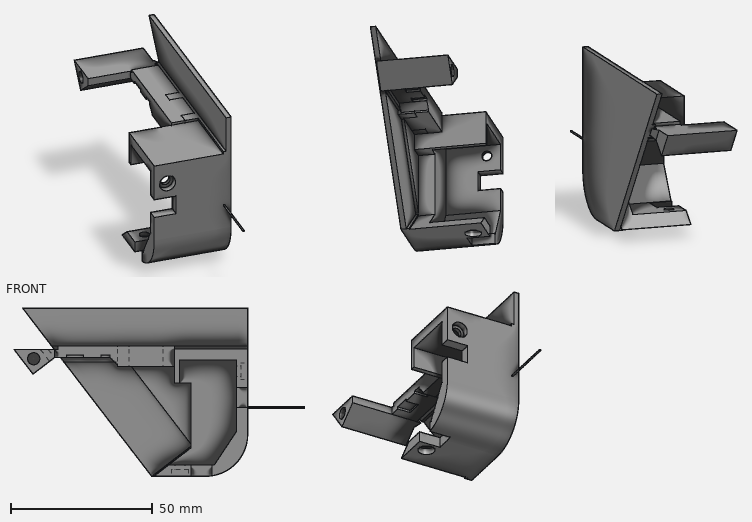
import cadquery as cq
import math


right_x = 82.7
plate_top_z = 59.5
back_y = 29.0
plate_thickness = 2.0
layer_thickness = 1.0
plate_front_y = back_y - plate_thickness
layer_front_y = plate_front_y - layer_thickness
layer_top_z = 46.0
corner_radius = 15.0
heel_x = 48.7
edge_angle = math.radians(52.5)
edge_run = 1 / math.tan(edge_angle)

housing_top_z = 45.1
housing_left_x = 56.7
wall = 4.0
left_wall = 1.8
left_wall_bottom_z = 33.1
floor_block_x = 62.7
pocket_back_y = 19.9
slope_step = 0.7
pocket_bevel_width = 7.9
pocket_bevel_height = 11.9
slot_depth = 8.2
floor_slot_width = 7.4
wall_slot_bottom_z = 24.4
wall_slot_top_z = 31.4
screw_diameter = 3.6
screw_head_diameter = 6.0
screw_seat = 1.5
screw_y = 5.0
floor_screw_x = 58.7
wall_screw_z = 37.2

foot_top_z = 44.9
foot_right_x = 14.4
arm_step_x = 15.5
arm_front_y = 15.9
arm_thin_bottom_z = 42.0
arm_thick_bottom_z = 38.8
arm_slant_start_x = 34.0
arm_slant_height = 2.6
arm_thick_x = 36.6
foot_hole_diameter = 4.3
foot_hole_x = 7.0
foot_hole_z = 41.6
foot_hole_depth = 20.0
notch_height = 0.8
notch_depth = 5.0
notch_spans = [(18.6, 24.6), (30.7, 33.9)]
tooth_depth = 1.7
tooth_left_x = 9.4
tooth_right_x = 12.1

key_width = 4.0
key_length = 4.9
key_left_xs = [36.7, housing_left_x - key_width]

layer_left_bottom_z = 40.4
layer_diagonal_bottom_z = 11.3

wire_diameter = 0.61
wire_end_x = 102.8


def edge_x(z):
    """X of the slanted left edge of the plate at height z."""
    return heel_x - z * edge_run


def slope_z(x, start_x):
    """Rise from start_x to x of a slope that is square to the slanted edge."""
    return (x - start_x) * edge_run


def slab(points, front_y, rear_y):
    """Prism with an XZ outline, reaching from front_y back to rear_y."""
    return cq.Workplane("XZ", origin=(0, rear_y, 0)).polyline(points).close().extrude(rear_y - front_y)


def box(x0, x1, y0, y1, z0, z1):
    return cq.Workplane("XY").box(x1 - x0, y1 - y0, z1 - z0, centered=False).translate((x0, y0, z0))


def make_plate():
    return slab(
        [(heel_x, 0), (right_x, 0), (right_x, plate_top_z), (edge_x(plate_top_z), plate_top_z)],
        plate_front_y,
        back_y,
    )


def make_layer():
    diagonal_rise = arm_thick_bottom_z - layer_diagonal_bottom_z
    return slab(
        [
            (heel_x, 0),
            (right_x, 0),
            (right_x, layer_top_z),
            (edge_x(layer_top_z), layer_top_z),
            (edge_x(layer_left_bottom_z), layer_left_bottom_z),
            (arm_thick_x, layer_left_bottom_z),
            (arm_thick_x, arm_thick_bottom_z),
            (floor_block_x - diagonal_rise * edge_run, arm_thick_bottom_z),
            (floor_block_x, layer_diagonal_bottom_z),
            (floor_block_x, slope_z(floor_block_x, heel_x)),
        ],
        layer_front_y,
        plate_front_y,
    )


def make_shell():
    """Housing block with its sloped lower left side and the open pocket."""
    slope_x = heel_x + slope_step
    block = slab(
        [
            (slope_x, 0),
            (right_x, 0),
            (right_x, housing_top_z),
            (housing_left_x, housing_top_z),
            (housing_left_x, left_wall_bottom_z),
            (floor_block_x, left_wall_bottom_z),
            (floor_block_x, slope_z(floor_block_x, slope_x)),
        ],
        0,
        layer_front_y,
    )
    return block.cut(make_pocket())


def make_pocket():
    pocket_right_x = right_x - wall
    pocket_left_x = housing_left_x + left_wall
    return slab(
        [
            (heel_x, wall),
            (pocket_right_x - pocket_bevel_width, wall),
            (pocket_right_x, wall + pocket_bevel_height),
            (pocket_right_x, housing_top_z - wall),
            (pocket_left_x, housing_top_z - wall),
            (pocket_left_x, left_wall_bottom_z),
            (heel_x, left_wall_bottom_z),
        ],
        0,
        pocket_back_y,
    )


def make_slots():
    floor_slot = box(floor_block_x, floor_block_x + floor_slot_width, 0, slot_depth, 0, wall)
    wall_slot = box(right_x - wall, right_x, 0, slot_depth, wall_slot_bottom_z, wall_slot_top_z)
    return floor_slot.union(wall_slot)


def screw_hole(outer_point, inward):
    """Hole through a wall, with a head recess on the outer side."""
    point = cq.Vector(*outer_point)
    direction = cq.Vector(*inward)
    hole = cq.Solid.makeCylinder(screw_diameter / 2, wall, point, direction)
    recess = cq.Solid.makeCylinder(screw_head_diameter / 2, wall - screw_seat, point, direction)
    return cq.Workplane(hole).union(cq.Workplane(recess))


def make_keys():
    """Blocks on the front of the layer that fill matching gaps in the bar of the latch arm."""
    keys = cq.Workplane("XY")
    front_y = layer_front_y - key_length
    for x in key_left_xs:
        keys = keys.union(box(x, x + key_width, front_y, layer_front_y, arm_thick_bottom_z, layer_top_z))
    return keys


def make_housing():
    body = make_plate().union(make_layer()).union(make_shell())
    body = body.faces(">X").edges("|Y and <Z").fillet(corner_radius)
    body = body.cut(make_slots())
    body = body.cut(screw_hole((floor_screw_x, screw_y, 0), (0, 0, 1)))
    body = body.cut(screw_hole((right_x, screw_y, wall_screw_z), (-1, 0, 0)))
    return body.union(make_keys())


def foot_tip():
    """Lowest corner of the foot, where its two slanted sides meet at a right angle."""
    drop = foot_top_z - arm_thin_bottom_z
    x = (foot_right_x * edge_run + drop) / (edge_run + 1 / edge_run)
    return x, foot_top_z - x / edge_run


def make_foot():
    foot = slab(
        [(0, foot_top_z), foot_tip(), (foot_right_x, arm_thin_bottom_z), (foot_right_x, foot_top_z)],
        0,
        layer_front_y,
    )
    hole = cq.Workplane("XZ").center(foot_hole_x, foot_hole_z).circle(foot_hole_diameter / 2)
    return foot.cut(hole.extrude(-foot_hole_depth))


def make_tooth():
    """Wedge behind the foot, running down along the slanted edge of the plate to the foot's lower side."""
    tip_x, tip_z = foot_tip()
    drop = foot_top_z - tip_z
    run = drop * edge_run

    def section(shift_x, z):
        return cq.Wire.makePolygon(
            [
                cq.Vector(tooth_left_x + shift_x, layer_front_y, z),
                cq.Vector(tooth_right_x + shift_x, layer_front_y + tooth_depth, z),
                cq.Vector(tooth_right_x + shift_x, layer_front_y, z),
            ],
            close=True,
        )

    wedge = cq.Workplane(cq.Solid.makeLoft([section(0, foot_top_z), section(run, tip_z)], ruled=True))
    above_lower_side = slab(
        [(tip_x, tip_z), (right_x, tip_z + slope_z(right_x, tip_x)), (tip_x, plate_top_z)],
        layer_front_y,
        back_y,
    )
    return wedge.intersect(above_lower_side)


def make_bar():
    """Bar of the latch arm, with two notches in its lower front edge and gaps for the keys."""
    bar = slab(
        [
            (foot_right_x, arm_thin_bottom_z),
            (arm_slant_start_x, arm_thin_bottom_z),
            (arm_thick_x, arm_thin_bottom_z - arm_slant_height),
            (arm_thick_x, arm_thick_bottom_z),
            (housing_left_x, arm_thick_bottom_z),
            (housing_left_x, layer_top_z),
            (arm_step_x, layer_top_z),
            (arm_step_x, foot_top_z),
            (foot_right_x, foot_top_z),
        ],
        arm_front_y,
        layer_front_y,
    )
    notch_top_z = arm_thin_bottom_z + notch_height
    notch_back_y = arm_front_y + notch_depth
    for left_x, notch_end_x in notch_spans:
        bar = bar.cut(box(left_x, notch_end_x, arm_front_y, notch_back_y, arm_thin_bottom_z, notch_top_z))
    return bar.cut(make_keys())


def make_latch():
    return make_foot().union(make_bar()).union(make_tooth())


def make_wire():
    """Straight wire that stands out of the right side, flush with the front of the layer."""
    radius = wire_diameter / 2
    start = cq.Vector(right_x, layer_front_y + radius, wall_slot_bottom_z)
    return cq.Workplane(cq.Solid.makeCylinder(radius, wire_end_x - right_x, start, cq.Vector(1, 0, 0)))


housing = make_housing()
latch = make_latch()
wire = make_wire()
result = cq.Compound.makeCompound([housing.solids().val(), latch.solids().val(), wire.val()])